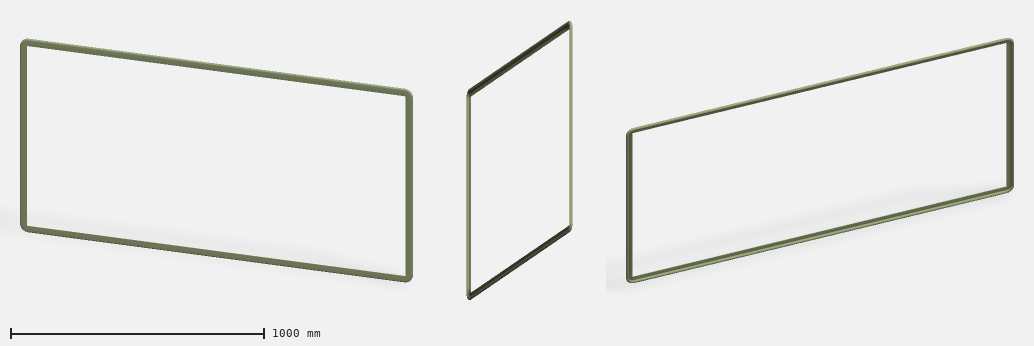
import cadquery as cq

length = 1621.0
thickness = 12.0
height = 846.0

bar_width = 29.0
flange_thickness = 2.5
corner_radius = 35.0

bead_width = thickness
bead_radius = 5.8


def plate(inset, depth):
    """Rectangular plate, inset from the outer rim, from the back face (+Y) forwards."""
    back_plane = cq.Workplane("XZ", origin=(0, thickness / 2, 0))
    return back_plane.rect(length - 2 * inset, height - 2 * inset).extrude(depth)


def outer_block():
    """Full-depth block with rounded corners and a rounded outer rim."""
    block = plate(0, thickness).edges("|Y").fillet(corner_radius)
    return block.faces("<Y or >Y").edges().fillet(bead_radius)


def recess_back(block):
    """Thin the bar from behind to the flange, leaving the bead proud."""
    recess = plate(bead_width, thickness - flange_thickness)
    recess = recess.edges("|Y").fillet(corner_radius - bead_width)
    return block.cut(recess)


def round_bead_inside(block):
    """Round the inner back edge of the bead."""
    bead_back = block.faces(">Y").val()
    inner_edges = bead_back.innerWires()[0].Edges()
    return block.newObject(inner_edges).fillet(bead_radius)


def cut_window(block):
    """Open the square-cornered window through the flange."""
    return block.cut(plate(bar_width, thickness))


result = cut_window(round_bead_inside(recess_back(outer_block())))